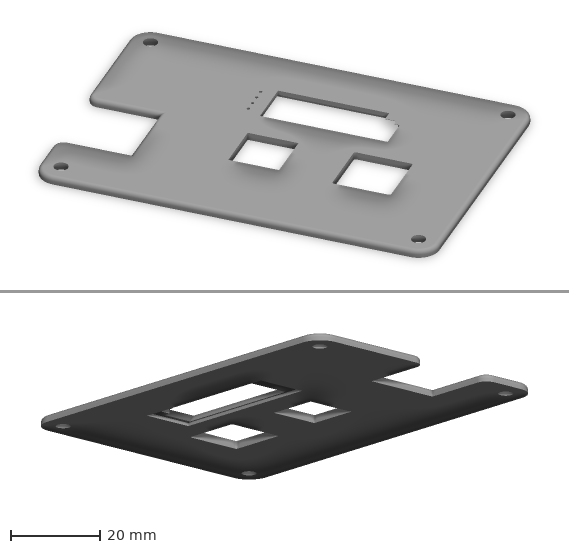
import cadquery as cq
LENGTH = 95.92
WIDTH = 66.24
THICKNESS = 1.85
CORNER_RADIUS = 5.0
EDGE_FILLET = 1.0
LEFT = -LENGTH / 2

NOTCH_DEPTH = 17.8
NOTCH_WIDTH = 18.4
NOTCH_CENTER_Y = -8.3
NOTCH_MOUTH_RADIUS = 2.6

MOUNT_DIAMETER = 3.4
MOUNT_X = LENGTH / 2 - CORNER_RADIUS
MOUNT_Y = WIDTH / 2 - CORNER_RADIUS

PIN_DIAMETER = 0.8
PIN_COUNT = 4
PIN_PITCH = 2.54
PIN_X = -12.4
PIN_CENTER_Y = 13.6

DISPLAY_LEFT = -8.9
DISPLAY_RIGHT = 21.8
DISPLAY_BOTTOM = 7.8
DISPLAY_TOP = 19.25
OUTER_STEP_WIDTH = 1.3
OUTER_STEP_Y = 15.4
INNER_STEP_WIDTH = 4.0
INNER_STEP_Y = 16.7

GLASS_RIGHT = 21.4
SKIN_THICKNESS = 0.1

RAMP_RUN = 2.0

BOARD_LENGTH = 38.0
BOARD_WIDTH = 12.4
BOARD_DEPTH = 0.75
BOARD_CENTER_X = 5.1
BOARD_CENTER_Y = (DISPLAY_BOTTOM + DISPLAY_TOP) / 2

SQUARE_SIDE = 12.2
SQUARE_CENTER_X = DISPLAY_LEFT + SQUARE_SIDE / 2

ROUNDED_SIDE = 14.1
ROUNDED_RADIUS = 0.5
ROUNDED_CENTER_X = 23.4

WINDOW_ROW_Y = -5.95


def prism(side_x, side_y, center_x, center_y, height=THICKNESS):
    """Rectangular block with its base at Z = 0."""
    return (
        cq.Workplane("XY")
        .center(center_x, center_y)
        .rect(side_x, side_y)
        .extrude(height)
    )


def notched_plate():
    """Rounded plate with the side notch and a filleted upper outline."""
    blank = prism(LENGTH, WIDTH, 0, 0).edges("|Z").fillet(CORNER_RADIUS)
    notch = prism(2 * NOTCH_DEPTH, NOTCH_WIDTH, LEFT, NOTCH_CENTER_Y)
    plate = blank.cut(notch)
    for side in (-1, 1):
        mouth_point = (LEFT, NOTCH_CENTER_Y + side * NOTCH_WIDTH / 2, THICKNESS / 2)
        mouth_edge = cq.selectors.NearestToPointSelector(mouth_point)
        plate = plate.edges(mouth_edge).fillet(NOTCH_MOUTH_RADIUS)
    return plate.faces(">Z").edges().fillet(EDGE_FILLET)


def through_holes(diameter, centers):
    """Round cutters at the given centres."""
    return cq.Workplane("XY").pushPoints(centers).circle(diameter / 2).extrude(THICKNESS)


def display_window():
    """Rectangular cutter with two steps at its upper right corner."""
    outline = [
        (DISPLAY_LEFT, DISPLAY_BOTTOM),
        (DISPLAY_RIGHT, DISPLAY_BOTTOM),
        (DISPLAY_RIGHT, OUTER_STEP_Y),
        (DISPLAY_RIGHT - OUTER_STEP_WIDTH, OUTER_STEP_Y),
        (DISPLAY_RIGHT - OUTER_STEP_WIDTH, INNER_STEP_Y),
        (DISPLAY_RIGHT - INNER_STEP_WIDTH, INNER_STEP_Y),
        (DISPLAY_RIGHT - INNER_STEP_WIDTH, DISPLAY_TOP),
        (DISPLAY_LEFT, DISPLAY_TOP),
    ]
    return cq.Workplane("XY").polyline(outline).close().extrude(THICKNESS)


def glass_recess():
    """Rectangular cutter from the underside up to the thin skin."""
    length = GLASS_RIGHT - DISPLAY_LEFT
    width = DISPLAY_TOP - DISPLAY_BOTTOM
    center_x = (GLASS_RIGHT + DISPLAY_LEFT) / 2
    center_y = (DISPLAY_TOP + DISPLAY_BOTTOM) / 2
    return prism(length, width, center_x, center_y, THICKNESS - SKIN_THICKNESS)


def ramp_recess():
    """Triangular undercut along the right edge of the window, below its steps."""
    profile = [
        (DISPLAY_RIGHT, 0),
        (DISPLAY_RIGHT + RAMP_RUN, 0),
        (DISPLAY_RIGHT, THICKNESS),
    ]
    return (
        cq.Workplane("XZ", origin=(0, OUTER_STEP_Y, 0))
        .polyline(profile)
        .close()
        .extrude(OUTER_STEP_Y - DISPLAY_BOTTOM)
    )


def board_recess():
    """Shallow rectangular cutter in the underside."""
    return prism(BOARD_LENGTH, BOARD_WIDTH, BOARD_CENTER_X, BOARD_CENTER_Y, BOARD_DEPTH)


def square_window():
    return prism(SQUARE_SIDE, SQUARE_SIDE, SQUARE_CENTER_X, WINDOW_ROW_Y)


def rounded_window():
    window = prism(ROUNDED_SIDE, ROUNDED_SIDE, ROUNDED_CENTER_X, WINDOW_ROW_Y)
    return window.edges("|Z").fillet(ROUNDED_RADIUS)


mount_centers = [(x, y) for x in (-MOUNT_X, MOUNT_X) for y in (-MOUNT_Y, MOUNT_Y)]
lowest_pin_y = PIN_CENTER_Y - PIN_PITCH * (PIN_COUNT - 1) / 2
pin_centers = [(PIN_X, lowest_pin_y + i * PIN_PITCH) for i in range(PIN_COUNT)]

result = (
    notched_plate()
    .cut(through_holes(MOUNT_DIAMETER, mount_centers))
    .cut(through_holes(PIN_DIAMETER, pin_centers))
    .cut(display_window())
    .cut(glass_recess())
    .cut(ramp_recess())
    .cut(board_recess())
    .cut(square_window())
    .cut(rounded_window())
)